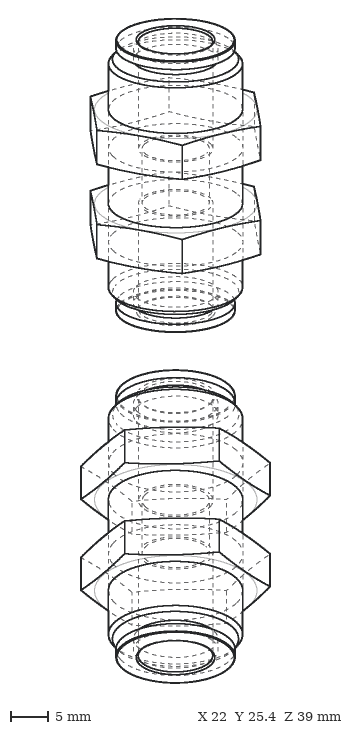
import cadquery as cq
import math

length = 39.0
half_length = length / 2

collar_diameter = 16.0
collar_height = 1.2
collar_edge_chamfer = 0.1
neck_diameter = 11.4
neck_height = 1.6

barrel_diameter = 18.0
barrel_face_diameter = 16.93
barrel_chamfer_height = 0.62
barrel_half_length = half_length - collar_height - neck_height

passage_diameter = 9.0
socket_diameter = 10.0
socket_depth = 15.6
mouth_chamfer = 0.27

nut_across_flats = 22.0
nut_across_corners = nut_across_flats / math.cos(math.pi / 6)
nut_height = 5.5
nut_face_diameter = 21.8
nut_corner_drop = 0.3
nut_end_distance = 10.0
nut_center_offset = half_length - nut_end_distance - nut_height / 2


def make_body():
    """Barrel with necks, end collars and stepped bore, revolved as one profile."""
    collar_radius = collar_diameter / 2
    neck_radius = neck_diameter / 2
    barrel_radius = barrel_diameter / 2
    socket_radius = socket_diameter / 2
    passage_radius = passage_diameter / 2
    socket_floor = half_length - socket_depth

    upper_half = [
        (passage_radius, socket_floor),
        (socket_radius, socket_floor),
        (socket_radius, half_length - mouth_chamfer),
        (socket_radius + mouth_chamfer, half_length),
        (collar_radius - collar_edge_chamfer, half_length),
        (collar_radius, half_length - collar_edge_chamfer),
        (collar_radius, half_length - collar_height),
        (neck_radius, half_length - collar_height),
        (neck_radius, barrel_half_length),
        (barrel_face_diameter / 2, barrel_half_length),
        (barrel_radius, barrel_half_length - barrel_chamfer_height),
    ]
    lower_half = [(radius, -z) for radius, z in reversed(upper_half)]
    section = cq.Workplane("XZ").polyline(upper_half + lower_half).close()
    return section.revolve(360, (0, 0), (0, 1))


def make_nut(center_z):
    """Hexagon nut around the barrel, with conically chamfered corners on both faces."""
    half_height = nut_height / 2
    face_radius = nut_face_diameter / 2
    corner_radius = nut_across_corners / 2
    shoulder = half_height - nut_corner_drop

    hexagon = (
        cq.Workplane("XY")
        .polygon(6, nut_across_corners)
        .extrude(half_height, both=True)
        .rotate((0, 0, 0), (0, 0, 1), 30)
    )
    envelope = (
        cq.Workplane("XZ")
        .moveTo(0, -half_height)
        .lineTo(face_radius, -half_height)
        .lineTo(corner_radius, -shoulder)
        .lineTo(corner_radius, shoulder)
        .lineTo(face_radius, half_height)
        .lineTo(0, half_height)
        .close()
        .revolve(360, (0, 0), (0, 1))
    )
    hole = cq.Workplane("XY").circle(barrel_diameter / 2).extrude(half_height, both=True)
    return hexagon.intersect(envelope).cut(hole).translate((0, 0, center_z))


body = make_body()
nuts = [make_nut(side * nut_center_offset) for side in (-1, 1)]

result = cq.Compound.makeCompound([body.solids().val(), *[nut.solids().val() for nut in nuts]])